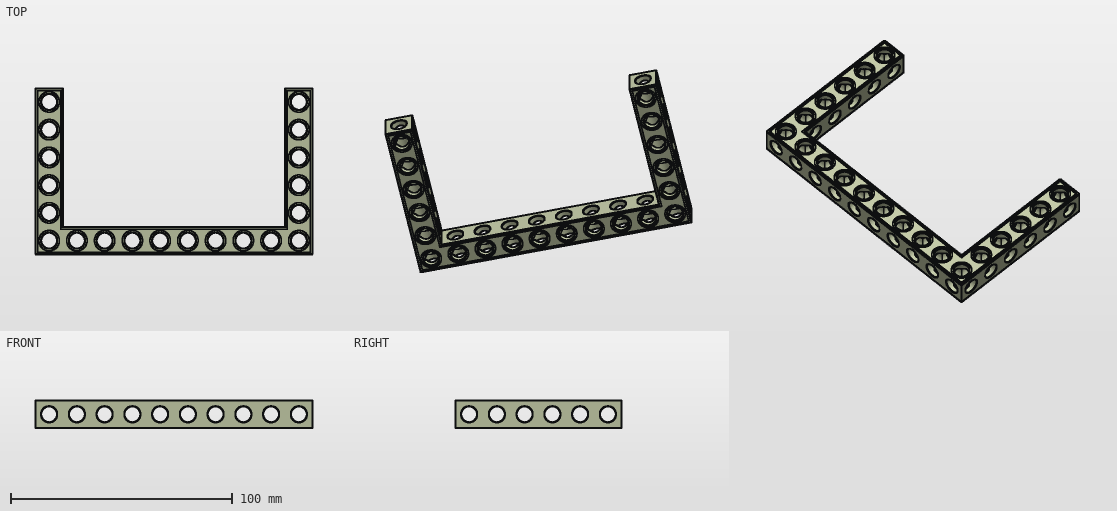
import cadquery as cq

PITCH = 12.5
BASE_CUBES = 10
ARM_CUBES = 6

HOLE_DIAMETER = 7.0
EDGE_CHAMFER = 0.2

RIM_WIDTH = 1.1
COLLAR_DIAMETER = 9.2
PANEL_DEPTH = 0.06

LENGTH = BASE_CUBES * PITCH
DEPTH = ARM_CUBES * PITCH

column_x = [(i + 0.5) * PITCH - LENGTH / 2 for i in range(BASE_CUBES)]
row_y = [(i + 0.5) * PITCH for i in range(ARM_CUBES)]
base_centres = [(x, row_y[0]) for x in column_x]
arm_centres = [(x, y) for x in (column_x[0], column_x[-1]) for y in row_y[1:]]
cube_centres = base_centres + arm_centres


def u_prism(inset, height):
    """U-shaped prism centred on Z = 0, its outline moved inwards by inset."""
    outer_x = LENGTH / 2 - inset
    inner_x = LENGTH / 2 - PITCH + inset
    front_y = inset
    inner_y = PITCH - inset
    back_y = DEPTH - inset
    outline = [
        (-outer_x, front_y),
        (outer_x, front_y),
        (outer_x, back_y),
        (inner_x, back_y),
        (inner_x, inner_y),
        (-inner_x, inner_y),
        (-inner_x, back_y),
        (-outer_x, back_y),
    ]
    return cq.Workplane("XY").polyline(outline).close().extrude(height / 2, both=True)


def bevelled_hole(entry, direction, span):
    """Cutter for a through hole of length span with a bevelled mouth at both ends."""
    radius = HOLE_DIAMETER / 2
    mouth_radius = radius + EDGE_CHAMFER
    profile = [
        (0, 0),
        (mouth_radius, 0),
        (radius, EDGE_CHAMFER),
        (radius, span - EDGE_CHAMFER),
        (mouth_radius, span),
        (0, span),
    ]
    cutter = cq.Workplane("XZ").polyline(profile).close().revolve(360, (0, 0), (0, 1))
    return cutter.val().moved(cq.Plane(origin=entry, normal=direction).location)


def hole_cutters():
    """Holes through every cube, opening on each wall that they cross."""
    left_x = -LENGTH / 2
    arm_starts = (left_x, -left_x - PITCH)
    along_z = [bevelled_hole((x, y, -PITCH / 2), (0, 0, 1), PITCH) for x, y in cube_centres]
    along_y = [bevelled_hole((x, 0, 0), (0, 1, 0), PITCH) for x in column_x[1:-1]]
    along_y += [bevelled_hole((x, 0, 0), (0, 1, 0), DEPTH) for x in (column_x[0], column_x[-1])]
    along_x = [bevelled_hole((x, y, 0), (1, 0, 0), PITCH) for x in arm_starts for y in row_y[1:]]
    along_x.append(bevelled_hole((left_x, row_y[0], 0), (1, 0, 0), LENGTH))
    return along_z + along_y + along_x


def panel_cutter():
    """Two thin slabs that sink the top and bottom faces between the rim and the hole collars."""
    slabs = u_prism(RIM_WIDTH, PITCH).cut(u_prism(0, PITCH - 2 * PANEL_DEPTH))
    collars = cq.Workplane("XY").pushPoints(cube_centres).circle(COLLAR_DIAMETER / 2)
    return slabs.cut(collars.extrude(PITCH / 2, both=True))


def is_inner_corner(edge):
    """True for the two vertical edges inside the corners of the U."""
    centre = edge.Center()
    on_inner_wall = abs(centre.y - PITCH) < EDGE_CHAMFER
    beside_arm = abs(abs(centre.x) - (LENGTH / 2 - PITCH)) < EDGE_CHAMFER
    return on_inner_wall and beside_arm


body = u_prism(0, PITCH)
body = body.edges().filter(lambda edge: not is_inner_corner(edge)).chamfer(EDGE_CHAMFER)

frame = body.cut(panel_cutter())
for cutter in hole_cutters():
    frame = frame.cut(cq.Workplane(cutter))

result = frame.solids()